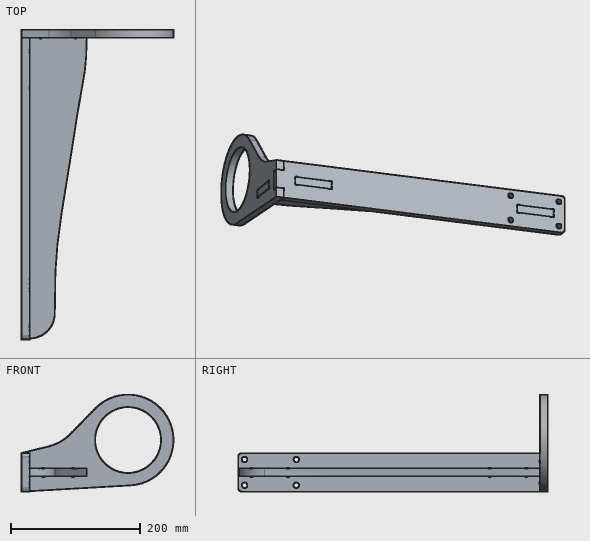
import cadquery as cq
import math

length = 480.0
sheet = 12.5
relief_diameter = 5.8
relief_offset = relief_diameter / 2 / math.sqrt(2)
shoulder_y = length - sheet

rail_height = 60.0
rail_corner_radius = 12.0 / 2
screw_diameter = 8.0
screw_margin = 10.0
screw_spacing_y = 80.0
end_tab_height = 29.8
mid_z = rail_height / 2
end_tab_bottom = mid_z - end_tab_height / 2
end_tab_top = mid_z + end_tab_height / 2

shelf_bottom = mid_z - sheet / 2
shelf_top = shelf_bottom + sheet
shelf_front_y = 1.5
shelf_nose_radius = 39.5
shelf_back_x = 101.3
shelf_edge_points = [(54.0, 129.5), (74.0, 266.5), (90.0, 369.5)]
side_tab_length = 60.5
side_tab_starts = [18.5, 387.8]
back_tab_length = 50.0
back_tab_start = (sheet + shelf_back_x - back_tab_length) / 2
back_tab_end = back_tab_start + back_tab_length

ring_x = 165.0
ring_z = 80.0
ring_radius = 70.5
ring_hole_diameter = 101.5
neck_corner = (62.0, 75.5)
neck_radius = 72.0

along_x = cq.Plane(origin=(0, 0, 0), xDir=(0, 1, 0), normal=(1, 0, 0))
along_y = cq.Plane(origin=(0, length, 0), xDir=(1, 0, 0), normal=(0, -1, 0))
along_z = cq.Plane(origin=(0, 0, shelf_bottom), xDir=(1, 0, 0), normal=(0, 0, 1))


def plate_box(plane, u0, u1, v0, v1):
    """One sheet thick rectangular block spanning u0..u1 by v0..v1."""
    return (
        cq.Workplane(plane)
        .center((u0 + u1) / 2, (v0 + v1) / 2)
        .rect(u1 - u0, v1 - v0)
        .extrude(sheet)
    )


def corner_relief(plane, corner, u_side, v_side):
    """Cylinder touching a corner, its centre on the side given by the signs."""
    centre = (corner[0] + u_side * relief_offset, corner[1] + v_side * relief_offset)
    return cq.Workplane(plane).moveTo(*centre).circle(relief_diameter / 2).extrude(sheet)


def relieved_slot(plane, u0, u1, v0, v1):
    """Rectangular slot with a relief in each of its four corners."""
    slot = plate_box(plane, u0, u1, v0, v1)
    for u, u_side in ((u0, 1), (u1, -1)):
        for v, v_side in ((v0, 1), (v1, -1)):
            slot = slot.union(corner_relief(plane, (u, v), u_side, v_side))
    return slot


def make_rail():
    rail = plate_box(along_x, 0, shoulder_y, 0, rail_height)
    rail = rail.edges("|X and <Y").fillet(rail_corner_radius)
    rail = rail.union(plate_box(along_x, shoulder_y, length, end_tab_bottom, end_tab_top))
    for z, z_side in ((end_tab_bottom, -1), (end_tab_top, 1)):
        rail = rail.cut(corner_relief(along_x, (shoulder_y, z), 1, z_side))
    for start in side_tab_starts:
        rail = rail.cut(relieved_slot(along_x, start, start + side_tab_length, shelf_bottom, shelf_top))
    screw_points = [
        (y, z)
        for y in (screw_margin, screw_margin + screw_spacing_y)
        for z in (screw_margin, rail_height - screw_margin)
    ]
    screws = cq.Workplane(along_x).pushPoints(screw_points).circle(screw_diameter / 2).extrude(sheet)
    return rail.cut(screws)


def make_shelf():
    nose_x = sheet + shelf_nose_radius
    nose_y = shelf_front_y + shelf_nose_radius
    nose_middle = (
        sheet + shelf_nose_radius * math.sin(math.pi / 4),
        nose_y - shelf_nose_radius * math.cos(math.pi / 4),
    )
    shelf = (
        cq.Workplane(along_z)
        .moveTo(sheet, shelf_front_y)
        .threePointArc(nose_middle, (nose_x, nose_y))
        .spline([*shelf_edge_points, (shelf_back_x, shoulder_y)],
                tangents=[(0, 1), (0, 1)], includeCurrent=True)
        .lineTo(sheet, shoulder_y)
        .close()
        .extrude(sheet)
    )
    for start in side_tab_starts:
        shelf = shelf.union(plate_box(along_z, 0, sheet, start, start + side_tab_length))
    shelf = shelf.union(plate_box(along_z, back_tab_start, back_tab_end, shoulder_y, length))
    for x, x_side in ((back_tab_start, -1), (back_tab_end, 1)):
        shelf = shelf.cut(corner_relief(along_z, (x, shoulder_y), x_side, 1))
    return shelf


def ring_tangent_point(start, side):
    """Point where a line from start touches the ring; side is 1 above the centre, -1 below."""
    dx = start[0] - ring_x
    dz = start[1] - ring_z
    angle = math.atan2(dz, dx) - side * math.acos(ring_radius / math.hypot(dx, dz))
    return ring_x + ring_radius * math.cos(angle), ring_z + ring_radius * math.sin(angle)


def make_ring_plate():
    plate = (
        cq.Workplane(along_y)
        .lineTo(*ring_tangent_point((0, 0), -1))
        .threePointArc((ring_x + ring_radius, ring_z), ring_tangent_point(neck_corner, 1))
        .lineTo(*neck_corner)
        .lineTo(0, rail_height)
        .close()
        .extrude(sheet)
    )
    neck_edge = cq.selectors.NearestToPointSelector((neck_corner[0], length - sheet / 2, neck_corner[1]))
    plate = plate.edges("|Y").edges(neck_edge).fillet(neck_radius)
    ring_hole = cq.Workplane(along_y).moveTo(ring_x, ring_z).circle(ring_hole_diameter / 2).extrude(sheet)
    plate = plate.cut(ring_hole)
    plate = plate.cut(plate_box(along_y, 0, sheet, end_tab_bottom, end_tab_top))
    return plate.cut(relieved_slot(along_y, back_tab_start, back_tab_end, shelf_bottom, shelf_top))


rail = make_rail()
shelf = make_shelf()
ring_plate = make_ring_plate()

result = cq.Compound.makeCompound([rail.val(), shelf.val(), ring_plate.val()])